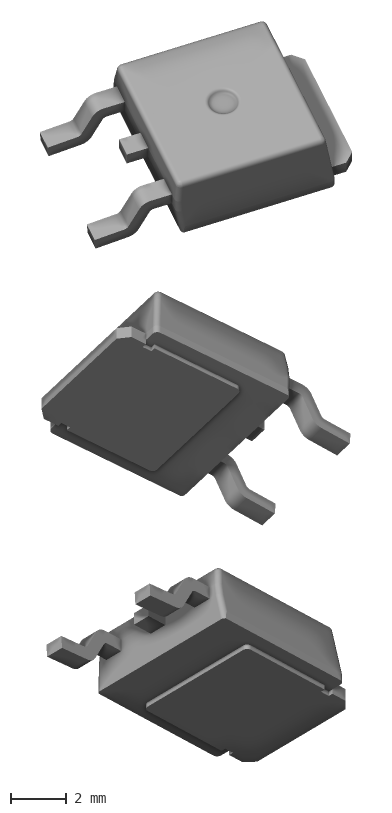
import cadquery as cq
import math


housing_width = 6.6
housing_length = 6.08
housing_bottom = 0.19
housing_top = 2.6
side_draft = 8.0
end_draft = 7.0
edge_radius = 0.2

tab_width = 5.36
tab_thickness = 0.51
tab_reach = 1.02
tab_chamfer = 0.38
tab_length_under_housing = 4.23
tab_corner_radius = 0.19
notch_length = 0.38
notch_depth = 0.19

lead_width = 0.78
lead_thickness = 0.5
lead_top = 1.75
lead_reach = 2.97
shoulder_reach = 1.11
slope_angle = 62.0
foot_angle = 4.0
outer_bend_radius = 0.5
inner_bend_radius = 0.2

stub_width = 0.76
stub_reach = 0.83

dimple_diameter = 1.32
dimple_floor_diameter = 0.81
dimple_depth = 0.12

mark_x = -2.23
mark_y = -2.18
mark_outer_diameter = 0.53
mark_inner_diameter = 0.39
mark_depth = 0.05

front_y = -housing_length / 2
rear_y = housing_length / 2
lead_bottom = lead_top - lead_thickness
lead_x = (tab_width - lead_width) / 2


def draft_inset(height, angle):
    return height * math.tan(math.radians(angle))


def make_housing_block():
    """Drafted, rounded block whose sides and rear are trimmed upright below the top of the tab."""
    drafted_height = housing_top - tab_thickness
    upright_height = tab_thickness - housing_bottom
    top_half_width = housing_width / 2 - draft_inset(drafted_height, side_draft)
    base_half_width = housing_width / 2 + draft_inset(upright_height, side_draft)
    across = (
        cq.Workplane("XZ")
        .moveTo(-base_half_width, housing_bottom)
        .lineTo(base_half_width, housing_bottom)
        .lineTo(top_half_width, housing_top)
        .lineTo(-top_half_width, housing_top)
        .close()
        .extrude(housing_length, both=True)
    )
    along = (
        cq.Workplane("YZ")
        .moveTo(front_y + draft_inset(lead_bottom - housing_bottom, end_draft), housing_bottom)
        .lineTo(rear_y + draft_inset(upright_height, end_draft), housing_bottom)
        .lineTo(rear_y - draft_inset(drafted_height, end_draft), housing_top)
        .lineTo(front_y + draft_inset(housing_top - lead_top, end_draft), housing_top)
        .lineTo(front_y, lead_top)
        .lineTo(front_y, lead_bottom)
        .close()
        .extrude(housing_width, both=True)
    )
    block = across.intersect(along)
    corner_edges = "not(#Z)"
    block = block.edges(corner_edges).fillet(edge_radius)
    block = block.faces(">Z").edges().fillet(edge_radius)
    trim = (
        cq.Workplane("XY")
        .box(housing_width, housing_length, housing_top, centered=(True, True, False))
        .edges("|Z and >Y")
        .fillet(edge_radius)
    )
    return block.intersect(trim)


def make_dimple():
    """Shallow round recess whose wall is an S-curve of two equal tangent arcs."""
    rim_radius = dimple_diameter / 2
    floor_radius = dimple_floor_diameter / 2
    arc_run = (rim_radius - floor_radius) / 2
    arc_drop = dimple_depth / 2
    half_turn = math.atan2(arc_drop, arc_run)
    arc_radius = arc_run / math.sin(2 * half_turn)
    arc_mid_run = arc_radius * math.sin(half_turn)
    arc_mid_drop = arc_radius * (1 - math.cos(half_turn))
    floor_z = housing_top - dimple_depth
    return (
        cq.Workplane("XZ")
        .moveTo(0, floor_z)
        .lineTo(floor_radius, floor_z)
        .threePointArc(
            (floor_radius + arc_mid_run, floor_z + arc_mid_drop),
            (floor_radius + arc_run, floor_z + arc_drop),
        )
        .threePointArc((rim_radius - arc_mid_run, housing_top - arc_mid_drop), (rim_radius, housing_top))
        .lineTo(0, housing_top)
        .close()
        .revolve(360, (0, 0, 0), (0, 1, 0))
    )


def make_tab():
    """Plate under the housing, with chamfered outer corners and a notch in each side."""
    outer_y = rear_y + tab_reach
    inner_y = rear_y - tab_length_under_housing
    length = outer_y - inner_y
    plate = (
        cq.Workplane("XY")
        .box(tab_width, length, tab_thickness, centered=(True, True, False))
        .translate((0, (outer_y + inner_y) / 2, 0))
    )
    plate = plate.edges("|Z and >Y").chamfer(tab_chamfer)
    plate = plate.edges("|Z and <Y").fillet(tab_corner_radius)
    notches = (
        cq.Workplane("XY")
        .pushPoints([(side * tab_width / 2, rear_y - notch_length / 2) for side in (-1, 1)])
        .rect(2 * notch_depth, notch_length)
        .extrude(tab_thickness)
    )
    return plate.cut(notches)


def make_lead(center_x):
    """Gull-wing lead: flat shoulder, steep slope and a slightly tilted foot."""
    slope = math.radians(slope_angle)
    foot = math.radians(foot_angle)
    toe_top = (front_y - lead_reach, lead_thickness * math.cos(foot))
    toe_bottom = (toe_top[0] + lead_thickness * math.sin(foot), 0)
    shoulder_top = (front_y - shoulder_reach, lead_top)

    shoulder_to_toe = shoulder_top[0] - toe_top[0]
    drop = lead_top - toe_top[1]
    heel_run = (drop - shoulder_to_toe * math.tan(foot)) / (math.tan(slope) - math.tan(foot))
    heel_top = (shoulder_top[0] - heel_run, lead_top - heel_run * math.tan(slope))

    shoulder_bottom = (shoulder_top[0] + lead_thickness * math.tan(slope / 2), lead_bottom)
    heel_mitre = (slope + foot) / 2
    heel_diagonal = lead_thickness / math.cos((slope - foot) / 2)
    heel_bottom = (
        heel_top[0] + heel_diagonal * math.sin(heel_mitre),
        heel_top[1] - heel_diagonal * math.cos(heel_mitre),
    )

    outline = [
        (front_y, lead_top),
        shoulder_top,
        heel_top,
        toe_top,
        toe_bottom,
        heel_bottom,
        shoulder_bottom,
        (front_y, lead_bottom),
    ]
    lead = (
        cq.Workplane("YZ", origin=(center_x - lead_width / 2, 0, 0))
        .polyline(outline)
        .close()
        .extrude(lead_width)
    )
    bends = [
        (shoulder_top, outer_bend_radius),
        (shoulder_bottom, inner_bend_radius),
        (heel_top, inner_bend_radius),
        (heel_bottom, outer_bend_radius),
    ]
    for (y, z), radius in bends:
        bend_edge = cq.selectors.NearestToPointSelector((center_x, y, z))
        lead = lead.edges("|X").edges(bend_edge).fillet(radius)
    return lead


def make_stub():
    """Centre lead, cut off short of the bend."""
    return (
        cq.Workplane("XY", origin=(0, front_y - stub_reach / 2, lead_bottom))
        .box(stub_width, stub_reach, lead_thickness, centered=(True, True, False))
    )


def make_mark_ring():
    """Thin ring set flush into the top face."""
    return (
        cq.Workplane("XY", origin=(mark_x, mark_y, housing_top - mark_depth))
        .circle(mark_outer_diameter / 2)
        .circle(mark_inner_diameter / 2)
        .extrude(mark_depth)
    )


tab = make_tab()
mark_ring = make_mark_ring()
stub = make_stub()
leads = [make_lead(side * lead_x) for side in (-1, 1)]
housing = make_housing_block().cut(make_dimple()).cut(tab).cut(mark_ring)

bodies = [housing, tab, stub, mark_ring, *leads]
result = cq.Compound.makeCompound([body.solids().val() for body in bodies])